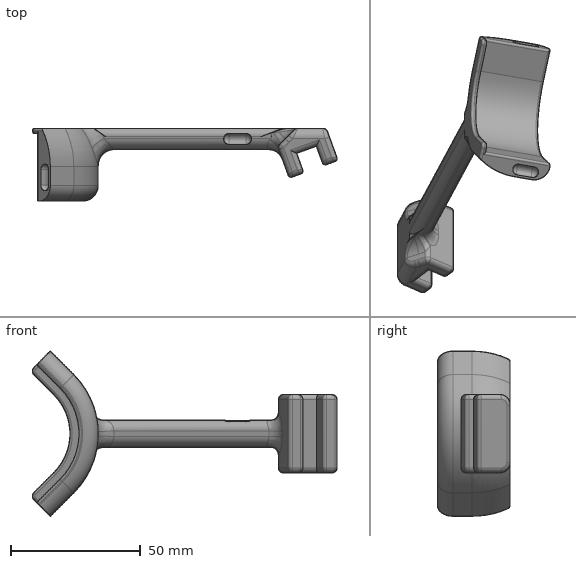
import cadquery as cq
import math


cradle_depth = 28.0
outer_radius = 32.2
wall_inner_radius = 24.75
lip_inner_radius = 21.25
lip_depth = 2.0
leg_length = 12.77
leg_angle = 45.0
crown_start = 14.7
crown_radius = 25.0
front_round = 6.0
lip_corner_round = 2.0
edge_round = 0.95

pocket_length = 10.2
pocket_width = 4.2
pocket_centre_y = -18.9
pocket_centre_radius = 29.2

bar_width = 10.46
bar_thickness = 8.2
bar_front_round = 4.2
bar_back_round = 3.2
bar_start = 27.0
bar_end = 108.5
cradle_flare = 6.0
clip_flare = 5.5
clip_seam = (99.0, 106.0)
cradle_run_out = (30.4, 35.0)
clip_run_out = (103.0, 94.9)

recess_length = 10.7
recess_width = 4.2
recess_axis_z = 4.8
recess_x = 85.8
recess_y = -4.1

clip_tilt = 20.0
clip_height = 30.2
arm_thickness = 6.0
slot_width = 8.0
slot_depth = 8.0
clip_back_right = 120.0
clip_back_width = 11.8
clip_right_side = 13.15
clip_edge_round = 1.95
clip_back_round = 4.0
clip_tip_round = 1.3
clip_shoulder_round = 2.0


def round_middle(corner_x, corner_y, radius, side):
    """Middle of a corner round whose centre lies above the corner and on the given X side."""
    gap = radius * (1 - math.sqrt(0.5))
    return (corner_x + side * gap, corner_y + gap)


def cradle_section():
    """Radial section of the cradle, radius along X and depth along Y."""
    crown_drop = crown_radius - math.sqrt(crown_radius**2 - crown_start**2)
    half_angle = math.asin(crown_start / crown_radius) / 2
    crown_middle = (
        outer_radius - crown_radius * (1 - math.cos(half_angle)),
        -crown_start + crown_radius * math.sin(half_angle),
    )
    front_middle = round_middle(outer_radius, -cradle_depth, front_round, -1)
    return (
        cq.Workplane("XY")
        .moveTo(lip_inner_radius, 0)
        .lineTo(outer_radius - crown_drop, 0)
        .threePointArc(crown_middle, (outer_radius, -crown_start))
        .lineTo(outer_radius, -cradle_depth + front_round)
        .threePointArc(front_middle, (outer_radius - front_round, -cradle_depth))
        .lineTo(wall_inner_radius, -cradle_depth)
        .lineTo(wall_inner_radius, -lip_depth)
        .lineTo(lip_inner_radius, -lip_depth)
        .close()
    )


def turned(shape, angle):
    """Turn a shape about the Y axis; positive angles lift +X towards +Z."""
    return shape.rotate((0, 0, 0), (0, 1, 0), -angle)


def near(point, reach=0.1):
    """Selector for edges whose centre lies at a point."""
    low = tuple(value - reach for value in point)
    high = tuple(value + reach for value in point)
    return cq.selectors.BoxSelector(low, high)


def on_leg(radius, y, along):
    """Point on the upper leg from its radius, depth and distance along the leg."""
    angle = math.radians(leg_angle)
    return (
        radius * math.cos(angle) - along * math.sin(angle),
        y,
        radius * math.sin(angle) + along * math.cos(angle),
    )


def capsule(length, width):
    """Round-ended rod along X, centred on the origin."""
    radius = width / 2
    half_straight = length / 2 - radius
    return (
        cq.Workplane("XY")
        .moveTo(-half_straight - radius, 0)
        .radiusArc((-half_straight, radius), radius)
        .lineTo(half_straight, radius)
        .radiusArc((half_straight + radius, 0), radius)
        .close()
        .revolve(360, (0, 0, 0), (1, 0, 0))
    )


def make_leg():
    """Upper straight leg with the pocket in its end face."""
    leg = turned(cradle_section().extrude(leg_length), leg_angle)
    pocket = capsule(pocket_length, pocket_width).rotate((0, 0, 0), (0, 0, 1), 90)
    pocket = pocket.translate((pocket_centre_radius, pocket_centre_y, leg_length))
    return leg.cut(turned(pocket, leg_angle))


def make_cradle():
    """Arc, two straight legs and the rounded inner edges."""
    arc = turned(cradle_section().revolve(2 * leg_angle, (0, 0, 0), (0, 1, 0)), leg_angle)
    leg = make_leg()
    body = arc.union(leg).union(leg.mirror("XY"))

    x, y, z = on_leg(lip_inner_radius, -lip_depth / 2, leg_length)
    body = body.edges(near((x, y, z)) + near((x, y, -z))).fillet(lip_corner_round)

    lip_middle = (leg_length - lip_corner_round) / 2
    lip_back = on_leg(lip_inner_radius, 0, lip_middle)
    lip_front = on_leg(lip_inner_radius, -lip_depth, lip_middle)
    body = body.edges(near(lip_back) + near(lip_front)).fillet(edge_round)

    x, y, z = on_leg(wall_inner_radius, -(cradle_depth + lip_depth) / 2, leg_length)
    wall_front = on_leg(wall_inner_radius, -cradle_depth, leg_length / 2)
    wall_rim = near((x, y, z), edge_round) + near((x, y, -z), edge_round) + near(wall_front)
    return body.edges(wall_rim).fillet(edge_round)


def make_bar():
    """Bar with rounded front edges; its back edges are rounded after the flares."""
    bar = (
        cq.Workplane("YZ", origin=(bar_start, -bar_thickness / 2, 0))
        .rect(bar_thickness, bar_width)
        .extrude(bar_end - bar_start)
    )
    return bar.edges("|X and <Y").fillet(bar_front_round)


def flare(body, x_low, x_high, radius):
    """Fillet the seam around the bar between two X positions, leaving the flat back alone."""
    reach = 0.1
    seam = cq.selectors.BoxSelector(
        (x_low, -bar_thickness - reach, -bar_width / 2 - reach),
        (x_high, -reach, bar_width / 2 + reach),
    )
    return body.edges(seam).fillet(radius)


def back_round_cutter():
    """Material outside the round on the bar's upper back edge."""
    margin = 1.0
    half = bar_width / 2
    middle = half - bar_back_round * (1 - math.sqrt(0.5))
    corner = (
        cq.Workplane("YZ", origin=(bar_start, 0, 0))
        .moveTo(0, half - bar_back_round)
        .threePointArc((middle - half, middle), (-bar_back_round, half))
        .lineTo(-bar_back_round, half + margin)
        .lineTo(margin, half + margin)
        .lineTo(margin, half - bar_back_round)
        .close()
        .extrude(bar_end - bar_start)
    )
    plan = (
        cq.Workplane("XY")
        .polyline([
            (cradle_run_out[0], 0),
            (cradle_run_out[1], -bar_back_round),
            (clip_run_out[1], -bar_back_round),
            (clip_run_out[0], 0),
        ])
        .close()
        .extrude(bar_width)
    )
    return corner.intersect(plan)


def recess_cutter():
    """Round-ended groove in the top side of the bar."""
    return capsule(recess_length, recess_width).translate((recess_x, recess_y, recess_axis_z))


def clip_point(along, out):
    """Point in the clip's own frame: along the slot floor and out towards the arm tips."""
    tilt = math.radians(clip_tilt)
    return (
        clip_back_right + along * math.cos(tilt) + out * math.sin(tilt),
        along * math.sin(tilt) - out * math.cos(tilt),
    )


def upright(corner, reach=0.1):
    """Selector for the clip edge that stands on a corner of its outline."""
    x, y = corner
    return cq.selectors.BoxSelector((x - reach, y - reach, -reach), (x + reach, y + reach, reach))


def make_clip():
    """Clip with its shoulder rounded, and the outline corners at the arm tips."""
    width = 2 * arm_thickness + slot_width
    right_slot = -arm_thickness
    left_slot = right_slot - slot_width
    tip = clip_right_side
    floor = clip_right_side - slot_depth
    tilt = math.radians(clip_tilt)
    shoulder_x = clip_back_right - clip_back_width
    left_x, left_y = clip_point(-width, 0)
    shoulder_out = (shoulder_x - left_x + left_y) / (math.sin(tilt) + math.cos(tilt))
    shoulder = clip_point(-width, shoulder_out)
    right_arm_tips = [clip_point(0, tip), clip_point(right_slot, tip)]
    left_arm_tips = [clip_point(left_slot, tip), clip_point(-width, tip)]
    outline = [
        (clip_back_right, 0),
        *right_arm_tips,
        clip_point(right_slot, floor),
        clip_point(left_slot, floor),
        *left_arm_tips,
        shoulder,
        (shoulder_x, 0),
    ]
    clip = cq.Workplane("XY").polyline(outline).close().extrude(clip_height / 2, both=True)
    clip = clip.edges(upright(shoulder)).fillet(clip_shoulder_round)
    return clip, right_arm_tips + left_arm_tips


def round_clip(body, tips):
    """Round the end faces of the clip, first along its back, then around the rest and at the tips."""
    reach = 0.1
    far = bar_end + clip_height
    back = cq.selectors.BoxSelector((bar_start, -reach, -far), (far, reach, far))
    rest = cq.selectors.BoxSelector(
        (bar_start, -far, -far), (far, -clip_back_round - reach / 10, far)
    )
    body = body.faces("<Z or >Z").edges(back).fillet(clip_back_round)
    body = body.faces("<Z or >Z").edges(rest).fillet(clip_edge_round)
    for tip in tips:
        body = body.edges(upright(tip)).fillet(clip_tip_round)
    return body


cradle = make_cradle()
bar = make_bar()
clip, clip_tips = make_clip()
clip_end = flare(clip.union(bar), clip_seam[0], clip_seam[1], clip_flare)
clip_end = round_clip(clip_end, clip_tips)
cradle_end = flare(cradle.union(bar), bar_start, outer_radius, cradle_flare)
body = cradle_end.union(clip_end)
cutter = back_round_cutter()
result = body.cut(cutter).cut(cutter.mirror("XY")).cut(recess_cutter())